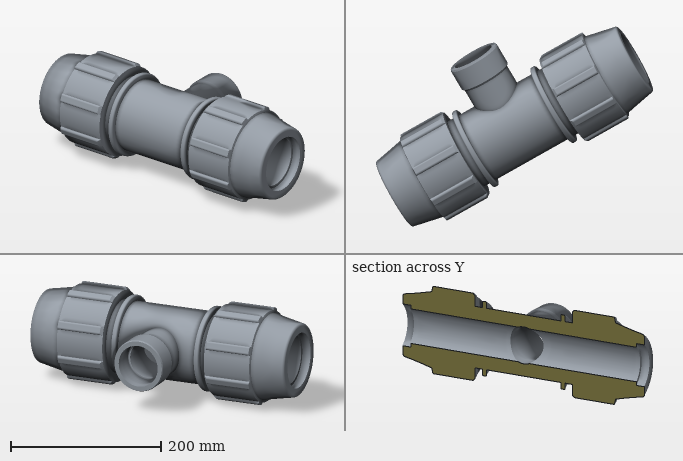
import cadquery as cq
import math

run_length = 370.0
half_length = run_length / 2
branch_end_y = 110.0

body_diameter = 99.0
run_bore_diameter = 67.5
entry_bore_diameter = 75.0
entry_depth = 12.0

cone_small_diameter = 99.0
cone_large_diameter = 117.0
cone_length = 44.0
mouth_round = 3.4
nut_diameter = 124.0
nut_end = 111.0
nut_lead_angle = 75.0

rib_count = 8
rib_tip_radius = 65.66
rib_width = 11.8
rib_edge_round = 2.7
rib_end_chamfer_length = 3.6
rib_end_chamfer_height = 3.0

ring_diameter = 114.84
ring_start = 121.5
ring_width = 7.0
ring_round = 2.0

branch_diameter = 65.15
branch_bore_diameter = 50.62
socket_diameter = 70.82
socket_bore_diameter = 56.66
socket_length = 30.5
socket_taper_length = 3.0
socket_lip_length = 2.3
socket_lip_height = 0.9


def revolve_about_run(outline):
    """Revolve a closed XY outline about the X axis."""
    return outline.close().revolve(360, (0, 0, 0), (1, 0, 0))


def run_cylinder(start_x, length, diameter):
    return cq.Workplane("YZ", origin=(start_x, 0, 0)).circle(diameter / 2).extrude(length)


def branch_cylinder(start_y, end_y, diameter):
    """Cylinder along Y between two Y places."""
    plane = cq.Workplane("XZ", origin=(0, end_y, 0))
    return plane.circle(diameter / 2).extrude(end_y - start_y)


def nut_cone():
    """Tapered mouth of the nut at the -X end."""
    outline = (
        cq.Workplane("XY")
        .moveTo(-half_length, 0)
        .lineTo(-half_length, cone_small_diameter / 2)
        .lineTo(-half_length + cone_length, cone_large_diameter / 2)
        .lineTo(-half_length + cone_length, 0)
    )
    return revolve_about_run(outline).faces("<X").edges().fillet(mouth_round)


def grip_rib(front_x, length):
    """One rib on the +Y side of the nut, its two long outer edges rounded."""
    rib = cq.Workplane("XY").box(length, rib_tip_radius, rib_width, centered=(False, False, True))
    return rib.edges("|X and >Y").fillet(rib_edge_round).translate((front_x, 0, 0))


def nut_grip():
    """Ribbed barrel of the nut, its front face sloping back and its ribs chamfered at the rear."""
    front_x = -half_length + cone_length
    rear_x = -half_length + nut_end
    length = rear_x - front_x
    grip = run_cylinder(front_x, length, nut_diameter)
    rib = grip_rib(front_x, length)
    rib_pitch = 360 / rib_count
    for index in range(rib_count):
        grip = grip.union(rib.rotate((0, 0, 0), (1, 0, 0), (index + 0.5) * rib_pitch))

    edge_center_radius = math.hypot(rib_tip_radius - rib_edge_round, rib_width / 2 - rib_edge_round)
    outer_radius = edge_center_radius + rib_edge_round
    lead_height = outer_radius - cone_large_diameter / 2
    lead_length = lead_height / math.tan(math.radians(nut_lead_angle))
    envelope = revolve_about_run(
        cq.Workplane("XY")
        .moveTo(front_x, 0)
        .lineTo(front_x, cone_large_diameter / 2)
        .lineTo(front_x + lead_length, outer_radius)
        .lineTo(rear_x - rib_end_chamfer_length, outer_radius)
        .lineTo(rear_x, outer_radius - rib_end_chamfer_height)
        .lineTo(rear_x, 0)
    )
    return grip.intersect(envelope)


def collar_ring():
    ring = run_cylinder(-half_length + ring_start, ring_width, ring_diameter)
    return ring.edges().fillet(ring_round)


def branch():
    """Branch pipe with its wider end socket, solid."""
    pipe_radius = branch_diameter / 2
    socket_radius = socket_diameter / 2
    socket_start_y = branch_end_y - socket_length
    outline = (
        cq.Workplane("XY")
        .moveTo(0, 0)
        .lineTo(pipe_radius, 0)
        .lineTo(pipe_radius, socket_start_y - socket_taper_length)
        .lineTo(socket_radius, socket_start_y)
        .lineTo(socket_radius, branch_end_y - socket_lip_length)
        .lineTo(socket_radius - socket_lip_height, branch_end_y)
        .lineTo(0, branch_end_y)
    )
    return outline.close().revolve(360, (0, 0, 0), (0, 1, 0))


body = run_cylinder(-half_length + cone_length, run_length - 2 * cone_length, body_diameter)
end_features = nut_cone().union(nut_grip()).union(collar_ring())
entry = run_cylinder(-half_length, entry_depth, entry_bore_diameter)

result = (
    body.union(end_features)
    .union(end_features.mirror("YZ"))
    .union(branch())
    .cut(run_cylinder(-half_length, run_length, run_bore_diameter))
    .cut(entry)
    .cut(entry.mirror("YZ"))
    .cut(branch_cylinder(0, branch_end_y, branch_bore_diameter))
    .cut(branch_cylinder(branch_end_y - socket_length, branch_end_y, socket_bore_diameter))
)